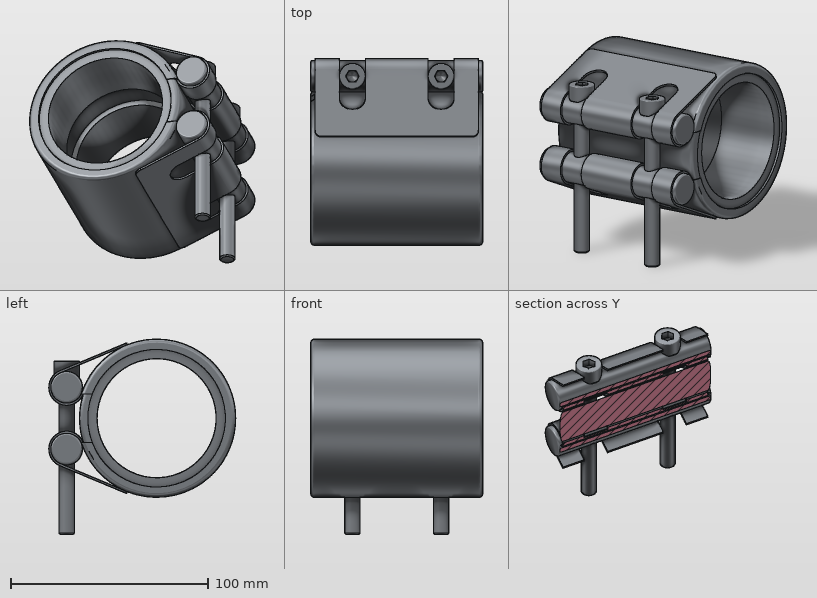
import cadquery as cq
import math

LENGTH = 87.4
BAND_RADIUS = 40.2
LIP_RADIUS = 34.9
BORE_RADIUS = 30.2
GROOVE_RADIUS = 33.0
GROOVE_WIDTH = 17.5
BAND_EDGE_ROUND = 2.0
BAND_GAP = 24.8
BRIDGE_RADIUS = 39.2
BRIDGE_RECESS = 0.4
GASKET_RECESS = 1.4

PIN_Y = 45.6
PIN_Z = 15.7
PIN_RADIUS = 8.0
PIN_END_ROUND = 1.0

STRAP_THICKNESS = 1.1
STRAP_WIDTH = 82.8
STRAP_CORNER_RADIUS = 3.0
STRAP_OVERRUN = 0.7
WELD_OVERLAP = 0.1
SLOT_WIDTH = 13.3
SLOT_END_Y = 28.9

SCREW_X = 22.5
SCREW_RADIUS = 4.0
SCREW_TIP_CHAMFER = 0.7
HEAD_RADIUS = 6.5
HEAD_HEIGHT = 8.0
HEAD_TOP = 29.0
HEAD_EDGE_ROUND = 0.5
TOTAL_HEIGHT = 99.2
SOCKET_FLATS = 6.0
SOCKET_DEPTH = 4.0
SOCKET_CONE_SLOPE = math.radians(30)

LOOP_RADIUS = PIN_RADIUS + STRAP_THICKNESS
SCREW_BOTTOM = BAND_RADIUS - TOTAL_HEIGHT


def bar_x(radius, length, y=0.0, z=0.0):
    """Round bar along X, centred on X = 0."""
    return cq.Workplane("YZ").center(y, z).circle(radius).extrude(length / 2, both=True)


def sleeve():
    """Slotted outer band with a recessed bridge plate and a grooved gasket, bored through."""
    band = bar_x(BAND_RADIUS, LENGTH).edges().fillet(BAND_EDGE_ROUND)
    band = band.cut(bar_x(LIP_RADIUS, LENGTH))
    gap = cq.Workplane("XY").box(LENGTH, BAND_RADIUS, BAND_GAP).translate((0, BAND_RADIUS / 2, 0))
    band = band.cut(gap)

    bridge = bar_x(BRIDGE_RADIUS, LENGTH - 2 * BRIDGE_RECESS).edges().fillet(BAND_EDGE_ROUND)
    bridge = bridge.cut(bar_x(LIP_RADIUS, LENGTH)).intersect(gap)

    gasket = bar_x(LIP_RADIUS, LENGTH - 2 * GASKET_RECESS)
    bore = bar_x(BORE_RADIUS, LENGTH).union(bar_x(GROOVE_RADIUS, GROOVE_WIDTH))
    return gasket.union(band).union(bridge).cut(bore)


def pin():
    """Upper clamping pin."""
    return bar_x(PIN_RADIUS, LENGTH, PIN_Y, PIN_Z).edges().fillet(PIN_END_ROUND)


def strap():
    """Upper strap: a loop around the pin and a flat leg tangent to pin and band."""
    contact_radius = BAND_RADIUS - WELD_OVERLAP
    pin_distance = math.hypot(PIN_Y, PIN_Z)
    tilt = math.atan2(PIN_Y, PIN_Z) - math.acos((contact_radius - PIN_RADIUS) / pin_distance)

    normal = cq.Vector(0, math.sin(tilt), math.cos(tilt))
    touch = normal * contact_radius
    tangent_y = PIN_Y * math.cos(tilt) - PIN_Z * math.sin(tilt)
    plane = cq.Plane(origin=touch.toTuple(), xDir=(1, 0, 0), normal=normal.toTuple())
    leg = (
        cq.Workplane(plane)
        .center(0, (tangent_y - STRAP_OVERRUN) / 2)
        .rect(STRAP_WIDTH, tangent_y + STRAP_OVERRUN)
        .extrude(STRAP_THICKNESS)
        .edges(cq.selectors.ParallelDirSelector(normal))
        .edges("<Y")
        .fillet(STRAP_CORNER_RADIUS)
    )

    leg_side = cq.Vector(0, PIN_Y, PIN_Z) + normal * (2 * LOOP_RADIUS)
    opening = (
        cq.Workplane("YZ")
        .polyline([(PIN_Y, PIN_Z), (leg_side.y, leg_side.z), (0, leg_side.z), (0, 0)])
        .close()
        .extrude(STRAP_WIDTH / 2, both=True)
    )
    loop = bar_x(LOOP_RADIUS, STRAP_WIDTH, PIN_Y, PIN_Z).cut(opening)
    body = leg.union(loop)

    slot_end = (SLOT_END_Y - touch.y - STRAP_THICKNESS * math.sin(tilt)) / math.cos(tilt)
    slot_center = slot_end + SLOT_WIDTH / 2
    slot_length = tangent_y + 2 * LOOP_RADIUS - slot_center
    spots = [(-SCREW_X, slot_center), (SCREW_X, slot_center)]
    half_depth = 2 * LOOP_RADIUS
    round_ends = cq.Workplane(plane).pushPoints(spots).circle(SLOT_WIDTH / 2).extrude(half_depth, both=True)
    runs = (
        cq.Workplane(plane)
        .center(0, slot_length / 2)
        .pushPoints(spots)
        .rect(SLOT_WIDTH, slot_length)
        .extrude(half_depth, both=True)
    )
    return body.cut(round_ends).cut(runs)


def screw(x):
    """Socket-head screw running down through both pins."""
    head_bottom = HEAD_TOP - HEAD_HEIGHT
    shank = (
        cq.Workplane("XY", origin=(x, PIN_Y, SCREW_BOTTOM))
        .circle(SCREW_RADIUS)
        .extrude(head_bottom - SCREW_BOTTOM)
        .faces("<Z")
        .chamfer(SCREW_TIP_CHAMFER)
    )
    head = (
        cq.Workplane("XY", origin=(x, PIN_Y, head_bottom))
        .circle(HEAD_RADIUS)
        .extrude(HEAD_HEIGHT)
        .faces(">Z")
        .edges()
        .fillet(HEAD_EDGE_ROUND)
    )
    return shank.union(head)


def socket(x):
    """Hexagonal driver socket with a conical bottom."""
    corner_diameter = SOCKET_FLATS / math.cos(math.pi / 6)
    floor = HEAD_TOP - SOCKET_DEPTH
    hexagon = (
        cq.Workplane("XY", origin=(x, PIN_Y, floor))
        .polygon(6, corner_diameter)
        .extrude(SOCKET_DEPTH)
    )
    cone_radius = SOCKET_FLATS / 2
    cone = cq.Solid.makeCone(
        cone_radius,
        0,
        cone_radius * math.tan(SOCKET_CONE_SLOPE),
        cq.Vector(x, PIN_Y, floor),
        cq.Vector(0, 0, -1),
    )
    return hexagon.union(cq.Workplane(cone))


upper_clamp = strap().union(pin())
result = sleeve().union(upper_clamp).union(upper_clamp.mirror("XY"))
for screw_x in (-SCREW_X, SCREW_X):
    result = result.union(screw(screw_x)).cut(socket(screw_x))